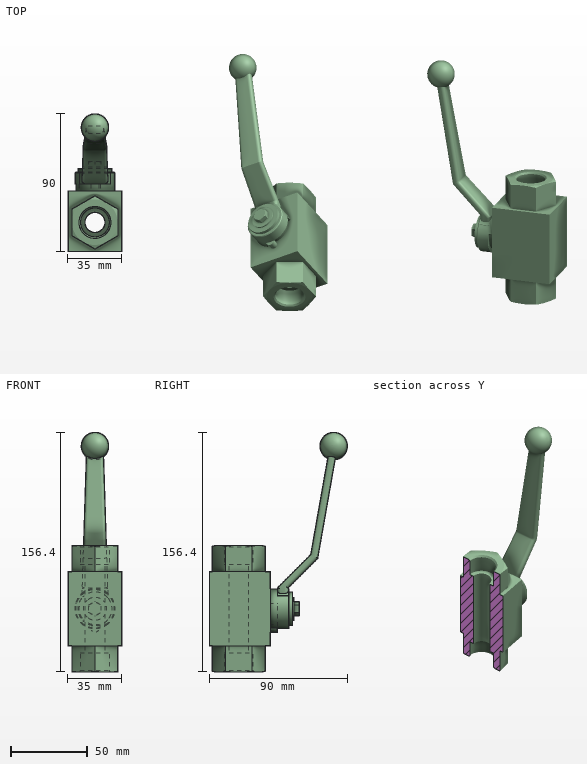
import cadquery as cq
import math


block_width = 35.0
block_depth = 39.7
block_height = 48.5
block_front = -19.1
hex_flats = 30.0
body_length = 82.7
hex_crown_diameter = 29.7
hex_crown_angle = 15.0
bore_diameter = 13.0
port_diameter = 18.8
port_depth = 12.5
port_mouth_diameter = 20.8
stop_pin_height = 4.5
stop_pin_diameter = 5.0
stop_pin_radius = 12.8

hub_diameter = 26.0
hub_height = 12.2
hub_chamfer = 0.5
neck_diameter = 20.6
neck_fillet = 1.1
stop_travel = 90.0
stop_clearance_angle = 16.0
saddle_width = 20.0
saddle_rise = 0.2
washer_diameter = 22.0
washer_top = 14.4
disc_diameter = 15.0
disc_top = 15.3
bolt_flats = 8.1
bolt_top = 19.0
bolt_crown_diameter = 8.5
bolt_crown_angle = 30.0

arm_thickness = 5.0
arm_root_width = 17.0
arm_tip_width = 11.0
arm_fillet = 2.0
bend_fillet = 1.9
arm_bottom = 7.8
lower_arm_start = 13.6
lower_arm_angle = 45.0
upper_arm_angle = 10.0
ball_diameter = 18.0
total_depth = 90.0
total_height = 156.4

block_back = block_front + block_depth
half_length = body_length / 2
ball_y = block_front + total_depth - ball_diameter / 2
ball_z = total_height - half_length - ball_diameter / 2
saddle_top = hub_height - hub_chamfer


def disc_on_back(diameter, start, end, z=0.0):
    """Cylinder along Y between two heights above the back face of the housing."""
    return (
        cq.Workplane("XZ", origin=(0, block_back + start, z))
        .circle(diameter / 2)
        .extrude(start - end)
    )


def hexagon(flats, length):
    """Hexagonal prism along +Z with two corners on the Y axis."""
    half_side_angle = 30
    corners = flats / math.cos(math.radians(half_side_angle))
    prism = cq.Workplane("XY").polygon(6, corners).extrude(length)
    return prism.rotate((0, 0, 0), (0, 0, 1), half_side_angle)


def crown_cone(top, crown_diameter, angle):
    """Solid of revolution that chamfers the corners of a hexagon at height top."""
    crown_radius = crown_diameter / 2
    reach = crown_diameter
    drop = (reach - crown_radius) * math.tan(math.radians(angle))
    return (
        cq.Workplane("XZ")
        .polyline([(0, 0), (reach, 0), (reach, top - drop), (crown_radius, top), (0, top)])
        .close()
        .revolve(360, (0, 0), (0, 1))
    )


def make_hex_end():
    """Upper hexagon end, starting from the middle of the housing."""
    return hexagon(hex_flats, half_length).intersect(
        crown_cone(half_length, hex_crown_diameter, hex_crown_angle)
    )


def make_port_cut():
    """Upper port with its chamfered mouth."""
    mouth_radius = port_mouth_diameter / 2
    port_radius = port_diameter / 2
    mouth_bottom = half_length - (mouth_radius - port_radius)
    floor = half_length - port_depth
    return (
        cq.Workplane("XZ")
        .polyline(
            [
                (0, floor),
                (port_radius, floor),
                (port_radius, mouth_bottom),
                (mouth_radius, half_length),
                (0, half_length),
            ]
        )
        .close()
        .revolve(360, (0, 0), (0, 1))
    )


def make_housing():
    """Square block with two hexagon ends, a bored passage and a stop pin on the back face."""
    block_middle = block_front + block_depth / 2
    housing = cq.Workplane("XY").box(block_width, block_depth, block_height)
    housing = housing.translate((0, block_middle, 0))
    hex_end = make_hex_end()
    port = make_port_cut()
    housing = housing.union(hex_end).union(hex_end.mirror("XY"))
    housing = housing.cut(port).cut(port.mirror("XY"))
    bore = cq.Workplane("XY").circle(bore_diameter / 2).extrude(half_length, both=True)
    housing = housing.cut(bore)
    stop_pin = disc_on_back(stop_pin_diameter, 0, stop_pin_height, z=-stop_pin_radius)
    return housing.union(stop_pin)


def make_stop_groove():
    """Sector around the hub neck that the housing's stop pin sweeps."""
    reach = hub_diameter
    first_angle = 180 - stop_clearance_angle
    sweep = stop_travel + 2 * stop_clearance_angle
    angles = [math.radians(first_angle + sweep * step / 2) for step in range(3)]
    rim = [(reach * math.cos(a), reach * math.sin(a)) for a in angles]
    sector = (
        cq.Workplane("XZ", origin=(0, block_back, 0))
        .polyline([(0, 0), *rim])
        .close()
        .extrude(-stop_pin_height)
    )
    groove = sector.cut(disc_on_back(neck_diameter, 0, stop_pin_height))
    neck_corners = groove.edges("|Y").filter(
        lambda edge: math.hypot(edge.Center().x, edge.Center().z) < hub_diameter / 2
    )
    return neck_corners.fillet(neck_fillet)


def make_saddle():
    """Slightly raised pad on the hub around the arm root."""
    pad = disc_on_back(hub_diameter + 2 * saddle_rise, stop_pin_height, saddle_top)
    window = (
        cq.Workplane("XY")
        .box(saddle_width, hub_height, hub_diameter, centered=(True, False, False))
        .translate((0, block_back, 0))
    )
    return pad.intersect(window)


def make_bolt_head():
    """Hexagon head on the outermost washer."""
    head_height = bolt_top - disc_top
    head = hexagon(bolt_flats, head_height).intersect(
        crown_cone(head_height, bolt_crown_diameter, bolt_crown_angle)
    )
    return head.rotate((0, 0, 0), (1, 0, 0), -90).translate((0, block_back + disc_top, 0))


def make_hub():
    """Hub with stop groove, saddle, two washers and the bolt head."""
    hub = disc_on_back(hub_diameter, 0, hub_height).faces(">Y").chamfer(hub_chamfer)
    hub = hub.cut(make_stop_groove()).union(make_saddle())
    hub = hub.union(disc_on_back(washer_diameter, hub_height, washer_top))
    hub = hub.union(disc_on_back(disc_diameter, washer_top, disc_top))
    return hub.union(make_bolt_head())


def make_arm():
    """Cranked bar: side profile cut to a tapering width, long edges rounded."""
    lower_slope = math.tan(math.radians(lower_arm_angle))
    upper_slope = math.tan(math.radians(upper_arm_angle))
    root_thickness = arm_thickness / math.cos(math.radians(lower_arm_angle))
    tip_half = arm_thickness / math.cos(math.radians(upper_arm_angle)) / 2

    def bend(lower_y, upper_y):
        """Meeting point of a lower arm edge and an upper arm edge."""
        z = (upper_y - ball_z * upper_slope - lower_y + lower_arm_start * lower_slope) / (
            lower_slope - upper_slope
        )
        return (lower_y + (z - lower_arm_start) * lower_slope, z)

    inner_y = block_back + stop_pin_height
    outer_y = inner_y + root_thickness
    profile = [
        (inner_y, arm_bottom),
        (inner_y, lower_arm_start),
        bend(inner_y, ball_y - tip_half),
        (ball_y - tip_half, ball_z),
        (ball_y + tip_half, ball_z),
        bend(outer_y, ball_y + tip_half),
        (outer_y, lower_arm_start),
        (outer_y, arm_bottom),
    ]
    bar = cq.Workplane("YZ").polyline(profile).close().extrude(arm_root_width, both=True)
    bend_y, bend_z = bend(inner_y, ball_y - tip_half)
    bar = bar.edges(cq.NearestToPointSelector((0, bend_y, bend_z))).fillet(bend_fillet)
    outline = (
        cq.Workplane("XZ")
        .polyline(
            [
                (-arm_root_width / 2, arm_bottom),
                (arm_root_width / 2, arm_bottom),
                (arm_tip_width / 2, ball_z),
                (-arm_tip_width / 2, ball_z),
            ]
        )
        .close()
        .extrude(-total_depth)
    )
    arm = bar.intersect(outline)
    return arm.edges("not #Z").fillet(arm_fillet)


def make_lever():
    """Hub, cranked arm and ball in one piece."""
    ball = cq.Workplane("XY").sphere(ball_diameter / 2).translate((0, ball_y, ball_z))
    return make_hub().union(make_arm()).union(ball)


housing = make_housing()
lever = make_lever()
result = cq.Compound.makeCompound([housing.val(), lever.val()])